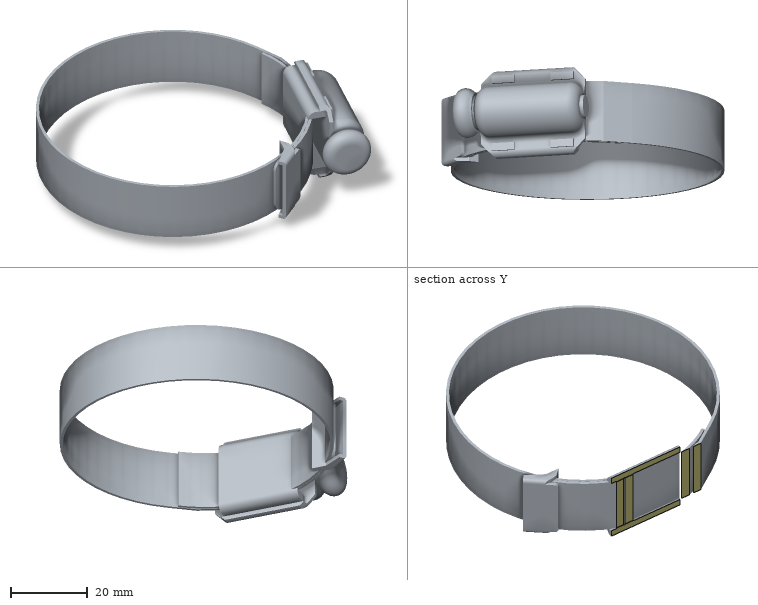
import cadquery as cq
import math


band_width = 16.0
band_thickness = 0.8
band_outer_radius = 35.8
band_inner_radius = band_outer_radius - band_thickness
overlap_gap = 0.05
tail_inner_radius = band_outer_radius + overlap_gap
tail_outer_radius = tail_inner_radius + band_thickness
tail_end_angle = 30.0
tail_corner_radius = 3.0
step_angle = 112.0
join_angle = step_angle + math.degrees(math.acos(band_outer_radius / tail_outer_radius))
tongue_mid_radius = 29.5
tongue_center_y = band_outer_radius - band_thickness / 2 - tongue_mid_radius
tongue_end_angle = 126.0

housing_length = 28.2
housing_center_x = 4.15
housing_width = 23.0
sheet_thickness = 1.1
flange_bottom_y = 37.2
flange_top_y = flange_bottom_y + sheet_thickness
lip_bottom_y = 35.35
lip_inner_bend = 0.5
lip_outer_bend = lip_inner_bend + sheet_thickness
flange_corner_chamfer = 3.5
arch_radius = 6.5
arch_top_y = 47.5
screw_axis_y = arch_top_y - arch_radius
arch_end_fillet = 3.0
arch_root_fillet = 1.5
trim_margin = 4.0

shaft_radius = 2.95
shaft_projection = 1.0
collar_radius = 4.45
head_radius = arch_radius
head_start_x = 18.7
head_end_x = 24.0
head_back_radius = 5.2
head_bevel_end_x = 19.25
head_bevel_radius = 5.6
head_end_rounding = 2.6
head_crest_x = head_end_x - head_end_rounding
head_end_radius = head_radius - head_end_rounding

saddle_length = 22.2
saddle_width = 20.0
saddle_floor = 1.6
saddle_bottom_y = 32.25
saddle_outer_bend = 2.1
saddle_inner_bend = 0.3
tab_length = 6.15
tab_top_y = 38.95

clip_width = 18.0
clip_angle = 49.1
clip_plate_thickness = 1.1
clip_plate_start = 2.8
clip_plate_end = 12.15
clip_edge_radius = 1.0
blade_tip = (23.5, 22.0)
blade_top = (25.5, 24.0)
side_top_y = 24.4
side_top_start_x = 27.4
side_top_end_x = 31.0
side_heel = (27.5, 22.0)
side_toe = (32.8, 18.8)
side_outer_reach = 36.0


def polar(radius, angle, center_y=0.0):
    """Point on a circle centred on the Y axis."""
    turn = math.radians(angle)
    return (radius * math.cos(turn), center_y + radius * math.sin(turn))


def block(x_range, y_range, z_width):
    """Box given by its X and Y limits, centred on Z = 0."""
    (x0, x1), (y0, y1) = x_range, y_range
    return (
        cq.Workplane("XY", origin=((x0 + x1) / 2, (y0 + y1) / 2, 0))
        .box(x1 - x0, y1 - y0, z_width)
    )


def build_band():
    """One strip: inner tongue, full turn, step outward and outer tail lying on the turn."""
    half_thickness = band_thickness / 2
    tongue_inner = tongue_mid_radius - half_thickness
    tongue_outer = tongue_mid_radius + half_thickness
    tongue_middle = (90 + tongue_end_angle) / 2
    tail_middle = (step_angle + tail_end_angle) / 2
    strip = (
        cq.Workplane("XY", origin=(0, 0, -band_width / 2))
        .moveTo(*polar(tongue_inner, tongue_end_angle, tongue_center_y))
        .threePointArc(polar(tongue_inner, tongue_middle, tongue_center_y), (0, band_inner_radius))
        .threePointArc((0, -band_inner_radius), polar(band_inner_radius, join_angle))
        .lineTo(*polar(tail_inner_radius, step_angle))
        .threePointArc(polar(tail_inner_radius, tail_middle), polar(tail_inner_radius, tail_end_angle))
        .lineTo(*polar(tail_outer_radius, tail_end_angle))
        .threePointArc(polar(tail_outer_radius, tail_middle), polar(tail_outer_radius, step_angle))
        .lineTo(*polar(band_outer_radius, join_angle))
        .threePointArc((0, -band_outer_radius), (0, band_outer_radius))
        .threePointArc(
            polar(tongue_outer, tongue_middle, tongue_center_y),
            polar(tongue_outer, tongue_end_angle, tongue_center_y),
        )
        .close()
        .extrude(band_width)
    )
    tail_mid_radius = (tail_inner_radius + tail_outer_radius) / 2
    for side in (-1, 1):
        corner = (*polar(tail_mid_radius, tail_end_angle), side * band_width / 2)
        strip = strip.edges(cq.selectors.NearestToPointSelector(corner)).fillet(tail_corner_radius)
    return strip


def build_screw():
    """Shaft, collar and rounded head turned about the screw axis."""
    shaft_start_x = housing_center_x - housing_length / 2 - shaft_projection
    collar_start_x = housing_center_x + housing_length / 2
    return (
        cq.Workplane("XY", origin=(0, screw_axis_y, 0))
        .moveTo(head_end_x, 0)
        .lineTo(head_end_x, head_end_radius)
        .tangentArcPoint((head_crest_x, head_radius), relative=False)
        .tangentArcPoint((head_bevel_end_x, head_bevel_radius), relative=False)
        .lineTo(head_start_x, head_back_radius)
        .lineTo(head_start_x, collar_radius)
        .lineTo(collar_start_x, collar_radius)
        .lineTo(collar_start_x, shaft_radius)
        .lineTo(shaft_start_x, shaft_radius)
        .lineTo(shaft_start_x, 0)
        .close()
        .revolve(360, (0, 0, 0), (1, 0, 0))
    )


def build_flange():
    """Flat sheet with both long edges bent down, left over-long at both ends."""
    half_length = housing_length / 2 + trim_margin
    x_range = (housing_center_x - half_length, housing_center_x + half_length)
    outside = (
        block(x_range, (lip_bottom_y, flange_top_y), housing_width)
        .edges("|X and >Y").fillet(lip_outer_bend)
    )
    inside = (
        block(x_range, (lip_bottom_y, flange_bottom_y), housing_width - 2 * sheet_thickness)
        .edges("|X and >Y").fillet(lip_inner_bend)
    )
    return outside.cut(inside)


def build_arch():
    """Round-topped cover over the screw, with rounded ends."""
    return (
        cq.Workplane("YZ", origin=(housing_center_x - housing_length / 2, 0, 0))
        .moveTo(flange_bottom_y, -arch_radius)
        .lineTo(screw_axis_y, -arch_radius)
        .threePointArc((arch_top_y, 0), (screw_axis_y, arch_radius))
        .lineTo(flange_bottom_y, arch_radius)
        .close()
        .extrude(housing_length)
        .faces("<X or >X").edges("not <Y").fillet(arch_end_fillet)
    )


def build_housing(saddle, screw):
    """Flange and arch blended together, trimmed to an eight-sided outline, with slots and bore."""
    pick_margin = 0.01
    reach_x = housing_length / 2 + pick_margin
    reach_z = arch_radius + pick_margin
    root = cq.selectors.BoxSelector(
        (housing_center_x - reach_x, flange_top_y - pick_margin, -reach_z),
        (housing_center_x + reach_x, flange_top_y + pick_margin, reach_z),
    )
    outline = (
        block(
            (housing_center_x - housing_length / 2, housing_center_x + housing_length / 2),
            (lip_bottom_y, arch_top_y),
            housing_width,
        )
        .edges("|Y").chamfer(flange_corner_chamfer)
    )
    body = build_flange().union(build_arch())
    body = body.edges(root).fillet(arch_root_fillet)
    return body.intersect(outline).cut(saddle).cut(screw)


def build_saddle():
    """Channel under the band with four tabs standing up through the flange."""
    x_start = housing_center_x - saddle_length / 2
    x_end = housing_center_x + saddle_length / 2
    x_range = (x_start, x_end)
    outside = (
        block(x_range, (saddle_bottom_y, tab_top_y), saddle_width)
        .edges("|X and <Y").fillet(saddle_outer_bend)
    )
    inside = (
        block(x_range, (saddle_bottom_y + saddle_floor, tab_top_y), band_width)
        .edges("|X and <Y").fillet(saddle_inner_bend)
    )
    between_tabs = block(
        (x_start + tab_length, x_end - tab_length), (flange_bottom_y, tab_top_y), saddle_width
    )
    band_clearance = (
        block(x_range, (0, tab_top_y), band_width)
        .cut(cq.Workplane("XY").circle(band_inner_radius).extrude(band_width, both=True))
    )
    return outside.cut(inside).cut(between_tabs).cut(band_clearance)


def tilted(shape):
    """Turn a shape so that its +Y side faces along the clip angle."""
    return shape.rotate((0, 0, 0), (0, 0, 1), clip_angle - 90)


def build_clip():
    """Outer plate, two side walls and an inner blade holding the band tail."""
    plate_inner = tail_outer_radius
    plate_outer = plate_inner + clip_plate_thickness
    plate_reach = (clip_plate_start, clip_plate_end)
    plate = tilted(
        block(plate_reach, (plate_inner, plate_outer), band_width)
        .edges("|Y and <X").fillet(clip_edge_radius)
    )
    envelope = tilted(
        block((-clip_plate_end, clip_plate_end), (0, plate_outer), clip_width)
        .edges("|X and >Y").fillet(clip_edge_radius)
    )
    sides = (
        cq.Workplane("XY", origin=(0, 0, -clip_width / 2))
        .polyline([
            blade_tip,
            blade_top,
            (side_top_start_x, side_top_y),
            (side_top_end_x, side_top_y),
            (side_outer_reach, blade_tip[1]),
            (side_outer_reach, side_toe[1]),
            side_toe,
            side_heel,
        ])
        .close()
        .extrude(clip_width)
        .intersect(envelope)
    )
    passage = (
        tilted(block((-clip_plate_end, 2 * clip_plate_end), (0, plate_inner), band_width))
        .cut(cq.Workplane("XY").circle(band_inner_radius).extrude(band_width, both=True))
    )
    return sides.cut(passage).union(plate)


band = build_band()
screw = build_screw()
saddle = build_saddle()
housing = build_housing(saddle, screw)
clip = build_clip()

result = cq.Compound.makeCompound([
    band.val(),
    housing.val(),
    screw.val(),
    saddle.val(),
    clip.val(),
])